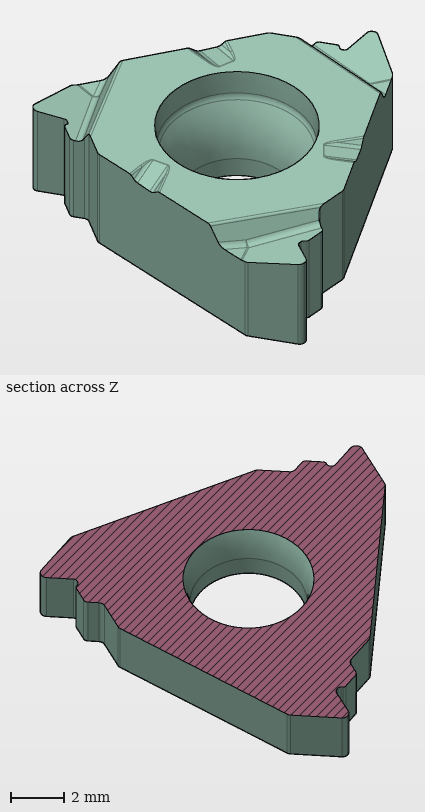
import cadquery as cq
import math


CORNER_TURNS = (0, 120, 240)
THICKNESS = 4.39
INSCRIBED_RADIUS = 9.525 / 2
SIDE_CORNER_RADIUS = 0.25
NEXT_SIDE_ANGLE = 60

TOOTH_AXIS_X = -3.545
TIP_REACH = 6.916
TIP_RADIUS = 0.23
TIP_FLAT = 0.04
HALF_TOOTH_ANGLE = 30
NOTCH_REACH = 5.84
NOTCH_ROOT_RADIUS = 0.165
NOTCH_WALL_X = -2.49
NOTCH_WALL_RADIUS = 0.125
CREST_REACH = 6.024
CREST_END_X = -1.605
CREST_RADIUS = 0.2
SHOULDER_REACH = 5.44
SHOULDER_RADIUS = 0.237

TIP_HEIGHT = 3.97
RAKE_ANGLE = 10
RELIEF_HEIGHT = 3.6
RELIEF_ANGLE = 5
WALL_DISTANCE = 5.19
WALL_DIRECTION = -121.6
WALL_STEEPNESS = 59
WALL_FOOT_RADIUS = 0.3
WALL_TOP_RADIUS = 0.14

GROOVE_INNER_X = -3.5
GROOVE_INNER_Y = 0.6
GROOVE_DIRECTION = 195
GROOVE_FALL_ANGLE = 10
GROOVE_FLOOR_WIDTH = 0.82
GROOVE_WALL_ANGLE = 38
GROOVE_FOOT_RADIUS = 0.29
GROOVE_RIM_RADIUS = 0.14
GROOVE_CUTTER_HEIGHT = 1.0
GROOVE_CUTTER_LENGTH = 3.0

BORE_RADIUS = 4.4 / 2
BORE_HEIGHT = 0.84
SEAT_RADIUS = 4.0
SEAT_TOP_ANGLE = 55
SEAT_BLEND_RADIUS = 0.5
MOUTH_RADIUS = 3.08
MOUTH_WALL_ANGLE = 86.6

LARGE = 10 * INSCRIBED_RADIUS
TOUCHING = 1e-4


def cos(degrees):
    return math.cos(math.radians(degrees))


def sin(degrees):
    return math.sin(math.radians(degrees))


def tan(degrees):
    return math.tan(math.radians(degrees))


def rotated(point, degrees):
    x, y = point
    return (x * cos(degrees) - y * sin(degrees), x * sin(degrees) + y * cos(degrees))


def moved_toward(start, end, distance):
    share = distance / math.dist(start, end)
    return (start[0] + share * (end[0] - start[0]), start[1] + share * (end[1] - start[1]))


def rounded_corner(before, corner, after, radius):
    """Start, middle and end of the arc that rounds one corner of a polygon."""
    to_before = moved_toward(corner, before, 1)
    to_after = moved_toward(corner, after, 1)
    half_angle = math.asin(math.dist(to_before, to_after) / 2)
    setback = radius / math.tan(half_angle)
    arc_depth = radius / math.sin(half_angle) - radius
    bisector_point = ((to_before[0] + to_after[0]) / 2, (to_before[1] + to_after[1]) / 2)
    return (
        moved_toward(corner, before, setback),
        moved_toward(corner, bisector_point, arc_depth),
        moved_toward(corner, after, setback),
    )


def corner_vertices():
    """Sharp vertices of one insert corner, each with the radius that rounds it."""
    flank = tan(90 - HALF_TOOTH_ANGLE)
    half_tip = TIP_FLAT / 2 + TIP_RADIUS * tan((90 - HALF_TOOTH_ANGLE) / 2)
    apex_reach = TIP_REACH + flank * half_tip
    flank_start_reach = apex_reach - flank * (INSCRIBED_RADIUS + TOOTH_AXIS_X)
    notch_x = TOOTH_AXIS_X + (apex_reach - NOTCH_REACH) / flank
    half_notch_wall = (CREST_REACH - NOTCH_REACH) / flank / 2
    shoulder_x = CREST_END_X + (CREST_REACH - SHOULDER_REACH) / flank
    next_side_x = (INSCRIBED_RADIUS - SHOULDER_REACH * sin(NEXT_SIDE_ANGLE)) / cos(NEXT_SIDE_ANGLE)
    return [
        ((-INSCRIBED_RADIUS, -flank_start_reach), SIDE_CORNER_RADIUS),
        ((TOOTH_AXIS_X - half_tip, -TIP_REACH), TIP_RADIUS),
        ((TOOTH_AXIS_X + half_tip, -TIP_REACH), TIP_RADIUS),
        ((notch_x, -NOTCH_REACH), NOTCH_ROOT_RADIUS),
        ((NOTCH_WALL_X - half_notch_wall, -NOTCH_REACH), NOTCH_WALL_RADIUS),
        ((NOTCH_WALL_X + half_notch_wall, -CREST_REACH), NOTCH_WALL_RADIUS),
        ((CREST_END_X, -CREST_REACH), CREST_RADIUS),
        ((shoulder_x, -SHOULDER_REACH), SHOULDER_RADIUS),
        ((next_side_x, -SHOULDER_REACH), SIDE_CORNER_RADIUS),
    ]


def rounded_outline(workplane, vertices):
    """A closed outline through (corner, radius) vertices, every corner rounded by its radius."""
    corners = [corner for corner, radius in vertices]
    arcs = []
    for index, (corner, radius) in enumerate(vertices):
        after = corners[(index + 1) % len(corners)]
        arcs.append(rounded_corner(corners[index - 1], corner, after, radius))
    last_arc_end = arcs[-1][2]
    outline = workplane.moveTo(*last_arc_end)
    for start, middle, end in arcs:
        outline = outline.lineTo(*start).threePointArc(middle, end)
    return outline.close()


def make_body():
    vertices = []
    for turn in CORNER_TURNS:
        for point, radius in corner_vertices():
            vertices.append((rotated(point, turn), radius))
    return rounded_outline(cq.Workplane("XY"), vertices).extrude(THICKNESS)


def half_space(point, normal):
    """A large block with one face through the point, lying on the side the normal points to."""
    plane = cq.Plane(origin=point, normal=normal)
    return cq.Workplane(plane).rect(LARGE, LARGE).extrude(LARGE)


def make_chip_space():
    """Cutter for the space above one tooth.

    Its faces leave the raked tooth face, the relief facet at the side of the body and the end
    wall; the three edges that meet at its lowest point are rounded.
    """
    above_tooth = half_space((TOOTH_AXIS_X, -TIP_REACH, TIP_HEIGHT), (0, tan(RAKE_ANGLE), 1))
    above_relief = half_space((-INSCRIBED_RADIUS, 0, RELIEF_HEIGHT), (tan(RELIEF_ANGLE), 0, 1))
    across = (cos(WALL_DIRECTION), sin(WALL_DIRECTION))
    beyond_wall = half_space(
        (WALL_DISTANCE * across[0], WALL_DISTANCE * across[1], THICKNESS),
        (across[0] * sin(WALL_STEEPNESS), across[1] * sin(WALL_STEEPNESS), cos(WALL_STEEPNESS)),
    )
    space = above_tooth.intersect(above_relief).intersect(beyond_wall)
    lowest_vertex = space.vertices("<Z").val()
    pit_edges = [edge for edge in space.edges().vals() if edge.distance(lowest_vertex) < TOUCHING]
    return space.newObject(pit_edges).fillet(WALL_FOOT_RADIUS)


def make_groove():
    """Cutter for one chip groove: sloping walls, rounded at the floor, falling toward the side."""
    plane = cq.Plane(
        origin=(GROOVE_INNER_X, GROOVE_INNER_Y, THICKNESS),
        xDir=(-sin(GROOVE_DIRECTION), cos(GROOVE_DIRECTION), 0),
        normal=(
            cos(GROOVE_DIRECTION) * cos(GROOVE_FALL_ANGLE),
            sin(GROOVE_DIRECTION) * cos(GROOVE_FALL_ANGLE),
            -sin(GROOVE_FALL_ANGLE),
        ),
    )
    half_floor = GROOVE_FLOOR_WIDTH / 2
    half_top = half_floor + GROOVE_CUTTER_HEIGHT / tan(GROOVE_WALL_ANGLE)
    vertices = [
        ((-half_floor, 0), GROOVE_FOOT_RADIUS),
        ((half_floor, 0), GROOVE_FOOT_RADIUS),
        ((half_top, GROOVE_CUTTER_HEIGHT), GROOVE_FOOT_RADIUS),
        ((-half_top, GROOVE_CUTTER_HEIGHT), GROOVE_FOOT_RADIUS),
    ]
    return rounded_outline(cq.Workplane(plane), vertices).extrude(GROOVE_CUTTER_LENGTH)


def make_hole():
    """Plain bore, rounded screw seat, and a slightly tapered mouth."""
    arc_centre_r = BORE_RADIUS + SEAT_RADIUS

    def on_seat(angle):
        """Seat point where the surface is tilted by the angle from horizontal."""
        return (arc_centre_r - SEAT_RADIUS * sin(angle), BORE_HEIGHT + SEAT_RADIUS * cos(angle))

    seat_top = on_seat(SEAT_TOP_ANGLE)
    blend_centre_r = seat_top[0] - SEAT_BLEND_RADIUS * sin(SEAT_TOP_ANGLE)
    blend_centre_z = seat_top[1] + SEAT_BLEND_RADIUS * cos(SEAT_TOP_ANGLE)

    def on_blend(angle):
        """Blend point where the surface is tilted by the angle from horizontal."""
        r = blend_centre_r + SEAT_BLEND_RADIUS * sin(angle)
        return (r, blend_centre_z - SEAT_BLEND_RADIUS * cos(angle))

    return (
        cq.Workplane("XZ")
        .lineTo(BORE_RADIUS, 0)
        .lineTo(BORE_RADIUS, BORE_HEIGHT)
        .threePointArc(on_seat((90 + SEAT_TOP_ANGLE) / 2), seat_top)
        .threePointArc(on_blend((SEAT_TOP_ANGLE + MOUTH_WALL_ANGLE) / 2), on_blend(MOUTH_WALL_ANGLE))
        .lineTo(MOUTH_RADIUS, THICKNESS)
        .lineTo(0, THICKNESS)
        .close()
        .revolve(360, (0, 0), (0, 1))
    )


def cut_at_corners(body, cutter):
    for turn in CORNER_TURNS:
        body = body.cut(cutter.rotate((0, 0, 0), (0, 0, 1), turn))
    return body


def top_edges_near(body, points):
    """The edge of the top face nearest to each (x, y) point, at every corner."""
    edges = []
    for turn in CORNER_TURNS:
        for point in points:
            x, y = rotated(point, turn)
            edges += body.faces(">Z").edges(cq.selectors.NearestToPointSelector((x, y, THICKNESS))).vals()
    return body.newObject(edges)


def round_wall_tops(body):
    """Round the top edge of the end wall behind each tooth."""
    wall_top = rotated((WALL_DISTANCE, 0), WALL_DIRECTION)
    return top_edges_near(body, [wall_top]).fillet(WALL_TOP_RADIUS)


def round_groove_rims(body):
    """Round the two long rims where the groove walls meet the top face."""
    along = (GROOVE_INNER_X + INSCRIBED_RADIUS) / 2
    middle_x = GROOVE_INNER_X + along * cos(GROOVE_DIRECTION)
    middle_y = GROOVE_INNER_Y + along * sin(GROOVE_DIRECTION)
    to_rim_x = -sin(GROOVE_DIRECTION) * GROOVE_FLOOR_WIDTH / 2
    to_rim_y = cos(GROOVE_DIRECTION) * GROOVE_FLOOR_WIDTH / 2
    rims = [(middle_x + side * to_rim_x, middle_y + side * to_rim_y) for side in (-1, 1)]
    return top_edges_near(body, rims).fillet(GROOVE_RIM_RADIUS)


result = make_body()
result = cut_at_corners(result, make_chip_space())
result = round_wall_tops(result)
result = cut_at_corners(result, make_groove())
result = round_groove_rims(result)
result = result.cut(make_hole())